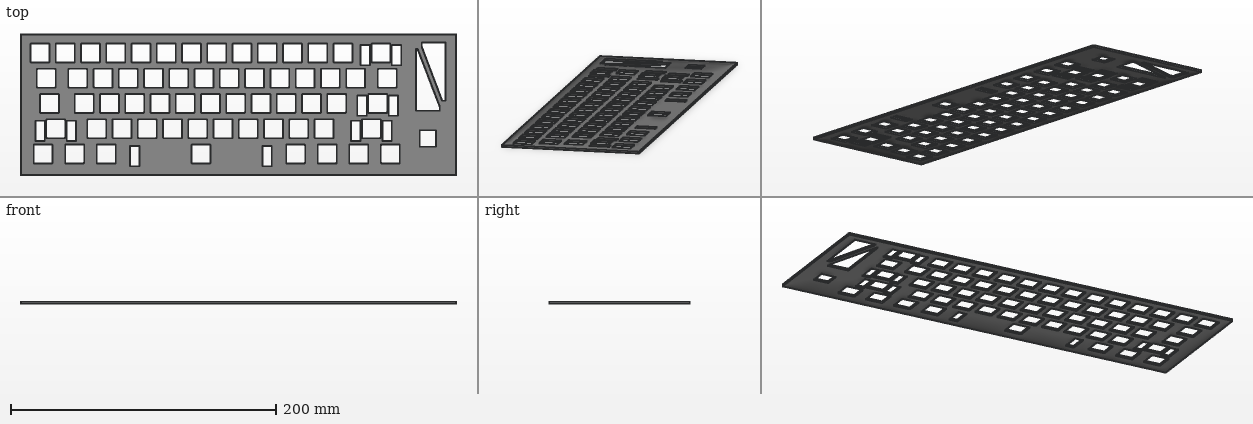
import cadquery as cq

PLATE_LENGTH = 328.5
PLATE_WIDTH = 106.0
PLATE_THICKNESS = 1.6

KEY_UNIT = 19.0
GRID_LEFT = 5.0
TOP_BORDER = 7.0
SWITCH_HOLE = 14.0
SWITCH_CORNER_RADIUS = 0.5
TOP_ROW_Y = PLATE_WIDTH - TOP_BORDER - SWITCH_HOLE / 2

SPACE_BAR_KEY = 6.25
KEY_ROWS = [
    [1] * 13 + [2],
    [1.5] + [1] * 12 + [1.5],
    [1.75] + [1] * 11 + [2.25],
    [2.25] + [1] * 10 + [2.75],
    [1.25] * 3 + [SPACE_BAR_KEY] + [1.25] * 4,
]

STABILIZED_KEY = 2
STABILIZER_LENGTH = 7.0
STABILIZER_WIDTH = 15.0
STABILIZER_DROP = 1.5
STABILIZER_REACH = 11.8
SPACE_BAR_REACH = 50.0

SQUARE_HOLE = 12.0
SQUARE_HOLE_X = 307.0
SQUARE_HOLE_Y = 27.5

WINDOW_LENGTH = 17.7
WINDOW_SIDE = 3.0
LOWER_WINDOW_X = 298.2
LOWER_WINDOW_Y = 48.5
LOWER_WINDOW_WIDTH = 46.5
LOWER_WINDOW_TIP = 1.0
UPPER_WINDOW_X = 320.2
UPPER_WINDOW_Y = 100.0
UPPER_WINDOW_WIDTH = 43.7
UPPER_WINDOW_TIP = 2.3


def rectangular_cutter(x, y, length, width):
    """Block through the plate, centred on x and y."""
    return cq.Workplane("XY").center(x, y).rect(length, width).extrude(PLATE_THICKNESS)


def switch_cutter(x, y):
    hole = rectangular_cutter(x, y, SWITCH_HOLE, SWITCH_HOLE)
    return hole.edges("|Z").fillet(SWITCH_CORNER_RADIUS)


def stabilizer_cutters(x, y, key_width):
    reach = SPACE_BAR_REACH if key_width == SPACE_BAR_KEY else STABILIZER_REACH
    return [
        rectangular_cutter(x + side * reach, y - STABILIZER_DROP, STABILIZER_LENGTH, STABILIZER_WIDTH)
        for side in (-1, 1)
    ]


def key_cutters():
    cutters = []
    for row, key_widths in enumerate(KEY_ROWS):
        y = TOP_ROW_Y - row * KEY_UNIT
        key_left = GRID_LEFT
        for key_width in key_widths:
            x = key_left + key_width * KEY_UNIT / 2
            cutters.append(switch_cutter(x, y))
            if key_width >= STABILIZED_KEY:
                cutters.extend(stabilizer_cutters(x, y, key_width))
            key_left += key_width * KEY_UNIT
    return cutters


def window_cutter(corner_x, corner_y, width, tip, direction):
    """Window that runs from its square corner toward +X +Y (direction 1) or -X -Y (direction -1)."""
    side_x = corner_x + direction * WINDOW_LENGTH
    tip_y = corner_y + direction * width
    return (
        cq.Workplane("XY")
        .moveTo(corner_x, corner_y)
        .lineTo(side_x, corner_y)
        .lineTo(side_x, corner_y + direction * WINDOW_SIDE)
        .lineTo(corner_x + direction * tip, tip_y)
        .lineTo(corner_x, tip_y)
        .close()
        .extrude(PLATE_THICKNESS)
    )


def window_cutters():
    return [
        window_cutter(LOWER_WINDOW_X, LOWER_WINDOW_Y, LOWER_WINDOW_WIDTH, LOWER_WINDOW_TIP, 1),
        window_cutter(UPPER_WINDOW_X, UPPER_WINDOW_Y, UPPER_WINDOW_WIDTH, UPPER_WINDOW_TIP, -1),
    ]


def keyboard_plate():
    plate = cq.Workplane("XY").box(PLATE_LENGTH, PLATE_WIDTH, PLATE_THICKNESS, centered=False)
    cutters = key_cutters() + window_cutters()
    cutters.append(rectangular_cutter(SQUARE_HOLE_X, SQUARE_HOLE_Y, SQUARE_HOLE, SQUARE_HOLE))
    return plate.val().cut(*[cutter.val() for cutter in cutters])


plate = keyboard_plate()
result = cq.Compound.makeCompound([*plate.Solids()])